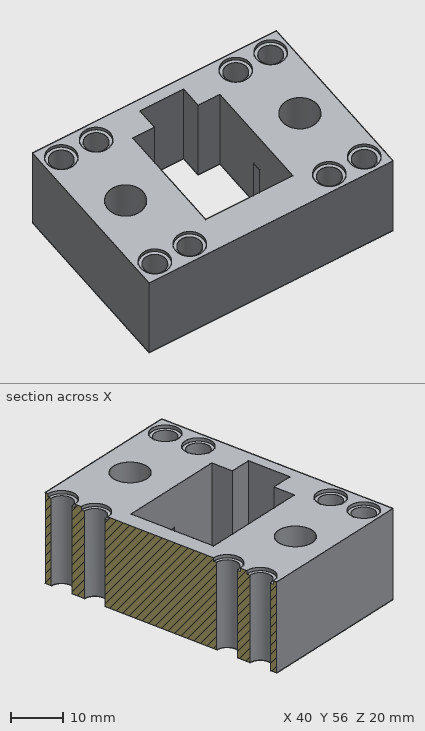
import cadquery as cq

length = 56.0
width = 40.0
height = 20.0

window_width = 25.0
window_length = 20.0
notch_depth = 5.0
notch_length = 10.0

large_hole_diameter = 8.0
large_hole_y = 20.0

slot_width = 2.0
slot_height = 11.0

screw_diameter = 4.9
counterbore_diameter = 6.4
counterbore_depth = 0.7
screw_x = 16.0
screw_inner_y = 16.0
screw_outer_y = 24.0


def standing_box(size_x, size_y, size_z, center_x=0, center_y=0):
    """Box that stands on the XY plane, centred at the given place."""
    base = cq.Workplane("XY").center(center_x, center_y)
    return base.box(size_x, size_y, size_z, centered=(True, True, False))


def make_window():
    """Through window together with the notch that opens from its -X side."""
    main = standing_box(window_width, window_length, height)
    notch_x = -(window_width + notch_depth) / 2
    notch = standing_box(notch_depth, notch_length, height, center_x=notch_x)
    return main.union(notch)


def make_slots():
    """One bar between the hole centres; its middle lies inside the window."""
    return standing_box(slot_width, 2 * large_hole_y, slot_height)


def top_plane(part):
    """Workplane on the top face, centred on the block."""
    return part.faces(">Z").workplane(origin=(0, 0, height))


large_hole_points = [(0, side * large_hole_y) for side in (-1, 1)]
screw_points = [
    (side_x * screw_x, side_y * y)
    for side_x in (-1, 1)
    for side_y in (-1, 1)
    for y in (screw_inner_y, screw_outer_y)
]

body = standing_box(width, length, height).cut(make_window()).cut(make_slots())
body = top_plane(body).pushPoints(large_hole_points).hole(large_hole_diameter)
result = (
    top_plane(body)
    .pushPoints(screw_points)
    .cboreHole(screw_diameter, counterbore_diameter, counterbore_depth)
)